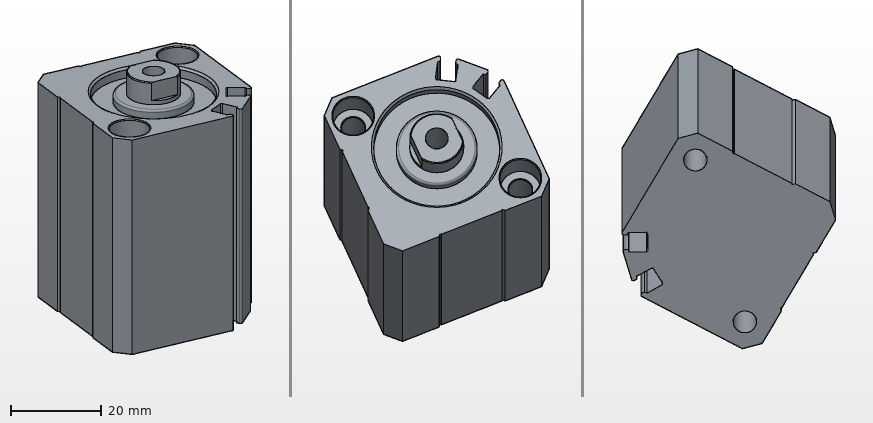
import cadquery as cq
import math

width = 40.0
half_width = width / 2
total_height = 57.5
rod_projection = 5.0
housing_height = total_height - rod_projection
corner_chamfer = 3.2
slot_corner_distance = 21.45

corner_angle = 45
slot_turn = 15
slot_floor_radius = 16.1
slot_half_width = 2.3
slot_floor_chamfer = 0.3
slot_mouth_half_width = 1.7
slot_outer_radius = 30.0
lip_thickness = 1.25
lip_round = 0.45

slot_walls = (
    {"side": 1, "distance": half_width, "tilt": corner_angle - slot_turn},
    {"side": -1, "distance": slot_corner_distance, "tilt": slot_turn},
)

panel_half_width = 7.3
panel_depth = 0.3
groove_half_span = 7.5
groove_depth = 0.5
groove_outer_half_span = groove_half_span + groove_depth

recess_diameter = 28.0
recess_depth = 2.55
recess_chamfer = 0.5
collar_diameter = 18.0
collar_drop = 0.45
collar_round = 0.5

mount_circle_diameter = 40.0
mount_offset = mount_circle_diameter / 2 / math.sqrt(2)
mount_diameter = 5.2
mount_chamfer = 0.2
counterbore_diameter = 9.0
counterbore_depth = 7.0
counterbore_chamfer = 0.25

rod_diameter = 12.0
rod_socket_depth = 20.0
rod_top_chamfer = 0.25
flat_width = 10.0
flat_start = 0.5
rod_hole_diameter = 5.0
rod_hole_depth = 12.0


def make_block():
    """Square block with three chamfered corners and one deep corner cut."""
    chamfered = half_width - corner_chamfer
    cut_end = slot_corner_distance * math.sqrt(2) - half_width
    outline = [
        (-chamfered, -half_width),
        (chamfered, -half_width),
        (half_width, -chamfered),
        (half_width, cut_end),
        (cut_end, half_width),
        (-chamfered, half_width),
        (-half_width, chamfered),
        (-half_width, -chamfered),
    ]
    return cq.Workplane("XY").polyline(outline).close().extrude(housing_height)


def radius_at_face(face_distance, face_tilt, offset):
    """Distance along a slot axis at which a wall beside it meets a face.

    The face normal leans by face_tilt degrees from the slot axis, towards that wall.
    """
    tilt = math.radians(face_tilt)
    return (face_distance - offset * math.sin(tilt)) / math.cos(tilt)


def slot_wall_points(side, distance, tilt):
    """One half of the slot outline, from the floor outwards; the lip keeps an even thickness."""
    lip_base = distance - lip_thickness
    points = [
        (slot_floor_radius, slot_half_width - slot_floor_chamfer),
        (slot_floor_radius + slot_floor_chamfer, slot_half_width),
        (radius_at_face(lip_base, tilt, slot_half_width), slot_half_width),
        (radius_at_face(lip_base, tilt, slot_mouth_half_width), slot_mouth_half_width),
        (slot_outer_radius, slot_mouth_half_width),
    ]
    return [(radius, side * offset) for radius, offset in points]


def make_slot_cutter():
    """T-slot prism on the +Y side of the corner direction."""
    outer_half, inner_half = [slot_wall_points(**wall) for wall in slot_walls]
    outline = outer_half + inner_half[::-1]
    cutter = cq.Workplane("XY").polyline(outline).close().extrude(housing_height)
    return cutter.rotate((0, 0, 0), (0, 0, 1), corner_angle + slot_turn)


def lip_corners():
    """Corners where the walls of both slot mouths reach the outer faces."""
    axis_angle = math.radians(corner_angle + slot_turn)
    cos = math.cos(axis_angle)
    sin = math.sin(axis_angle)
    corners = []
    for wall in slot_walls:
        radius = radius_at_face(wall["distance"], wall["tilt"], slot_mouth_half_width)
        offset = wall["side"] * slot_mouth_half_width
        x = radius * cos - offset * sin
        y = radius * sin + offset * cos
        corners += [(x, y), (y, x)]
    return corners


def cut_slots(body):
    """Both T-slots with rounded lips."""
    slot = make_slot_cutter()
    mirrored_slot = cq.Workplane(slot.val().rotate(cq.Vector(), cq.Vector(1, 1, 0), 180))
    mirrored_slot = mirrored_slot.translate((0, 0, housing_height))
    body = body.cut(slot).cut(mirrored_slot)
    for x, y in lip_corners():
        lip_edge = cq.NearestToPointSelector((x, y, housing_height / 2))
        body = body.edges("|Z").edges(lip_edge).fillet(lip_round)
    return body


def make_panel_cutter():
    """Shallow panel with V grooves, for the -Y side."""
    right_half = [
        (panel_half_width, panel_depth - half_width),
        (groove_half_span, groove_depth - half_width),
        (groove_outer_half_span, -half_width),
    ]
    left_half = [(-x, y) for x, y in reversed(right_half)]
    return cq.Workplane("XY").polyline(right_half + left_half).close().extrude(housing_height)


def cut_recess(body):
    """Chamfered recess that leaves a rounded collar standing in its middle."""
    floor = housing_height - recess_depth
    collar_height = recess_depth - collar_drop
    bore = cq.Workplane("XY").workplane(offset=floor).circle(recess_diameter / 2).extrude(recess_depth)
    collar = cq.Workplane("XY").workplane(offset=floor).circle(collar_diameter / 2).extrude(collar_height)
    collar = collar.faces(">Z").edges().fillet(collar_round)
    body = body.cut(bore.cut(collar))
    return body.cut(make_countersink(0, 0, housing_height, recess_diameter, recess_chamfer))


def make_countersink(x, y, top, diameter, size):
    """45 degree ring that chamfers the upper rim of a hole."""
    cone = cq.Solid.makeCone(diameter / 2, diameter / 2 + size, size, cq.Vector(x, y, top - size))
    core = cq.Solid.makeCylinder(diameter / 2, size, cq.Vector(x, y, top - size))
    return cq.Workplane(cone.cut(core))


def cut_mounting_hole(body, x, y):
    """Through hole with a counterbore, both with a chamfered upper rim."""
    counterbore_floor = housing_height - counterbore_depth
    center = cq.Workplane("XY").center(x, y)
    body = body.cut(center.circle(mount_diameter / 2).extrude(housing_height))
    counterbore = center.workplane(offset=counterbore_floor).circle(counterbore_diameter / 2)
    body = body.cut(counterbore.extrude(counterbore_depth))
    body = body.cut(make_countersink(x, y, counterbore_floor, mount_diameter, mount_chamfer))
    return body.cut(make_countersink(x, y, housing_height, counterbore_diameter, counterbore_chamfer))


def make_housing():
    body = cut_slots(make_block())
    panel = make_panel_cutter()
    for turn in (0, -90):
        body = body.cut(panel.rotate((0, 0, 0), (0, 0, 1), turn))
    body = cut_recess(body)
    for side in (-1, 1):
        body = cut_mounting_hole(body, side * mount_offset, -side * mount_offset)
    socket = cq.Workplane("XY").workplane(offset=housing_height - rod_socket_depth)
    return body.cut(socket.circle(rod_diameter / 2).extrude(rod_socket_depth))


def make_rod():
    """Piston rod with two wrench flats and a blind hole in its end."""
    base = cq.Workplane("XY").workplane(offset=housing_height - rod_socket_depth)
    rod = base.circle(rod_diameter / 2).extrude(rod_socket_depth + rod_projection)
    rod = rod.faces(">Z").chamfer(rod_top_chamfer)
    flat_height = rod_projection - flat_start
    flats = cq.Workplane("XY").workplane(offset=housing_height + flat_start)
    kept = flats.rect(flat_width, rod_diameter).extrude(flat_height)
    ring = flats.circle(rod_diameter).extrude(flat_height)
    rod = rod.cut(ring.cut(kept))
    return rod.faces(">Z").workplane().hole(rod_hole_diameter, rod_hole_depth)


housing = make_housing()
rod = make_rod()
result = cq.Compound.makeCompound([housing.val(), rod.val()])